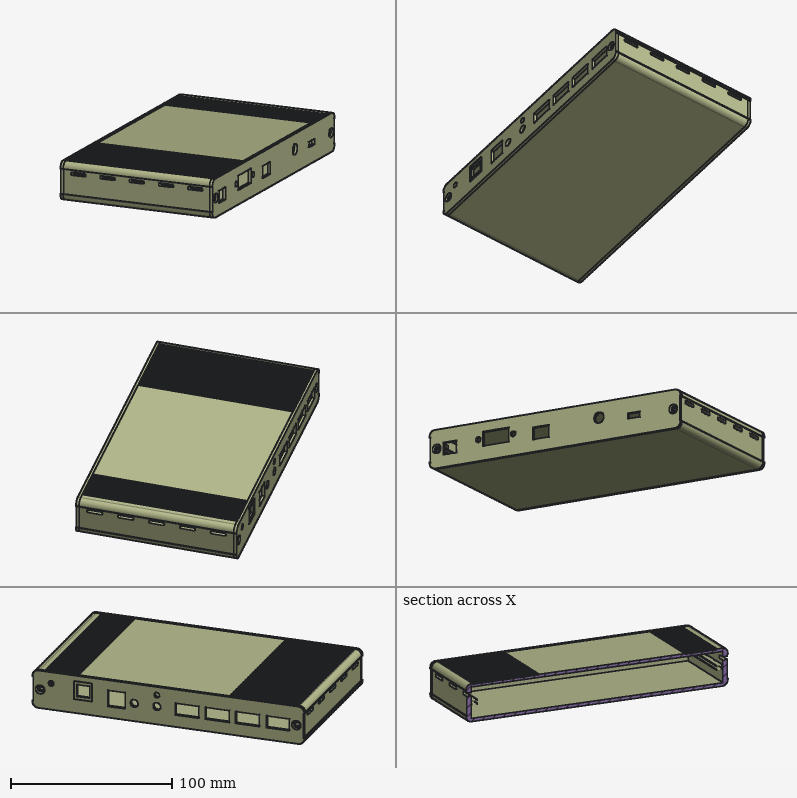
import cadquery as cq

LENGTH = 180.0
WIDTH = 104.0
HEIGHT = 25.0
PLATE_THICKNESS = 2.0
HOUSING_WIDTH = WIDTH - 2 * PLATE_THICKNESS
TOP = HEIGHT / 2

CORNER_RADIUS = 4.0
RECESS_DEPTH = 0.5
SIDE_RECESS_HEIGHT = HEIGHT - 2 * (CORNER_RADIUS + RECESS_DEPTH)

WALL = 2.0
SIDE_WALL = 3.2
RIB_THICKNESS = 0.6
RIB_GAP = 1.8
RIB_TIP_Y = 82.0

LABEL_LENGTH = HOUSING_WIDTH
LABEL_CENTER_Y = 10.0
LABEL_DEPTH = 0.1
LABEL_MIN_Y = LABEL_CENTER_Y - LABEL_LENGTH / 2
LABEL_MAX_Y = LABEL_CENTER_Y + LABEL_LENGTH / 2

GROOVE_DEPTH = RECESS_DEPTH

ROUND_BAND_LENGTH = 45.0
ROUND_RIB_COUNT = 22
ROUND_RIB_PITCH = ROUND_BAND_LENGTH / (ROUND_RIB_COUNT + 0.5)
ROUND_RIB_RADIUS = ROUND_RIB_PITCH / 4

GROOVE_BAND_MAX_Y = 82.0
GROOVE_COUNT = 9
GROOVE_BAND_LENGTH = 22.5
GROOVE_PITCH = GROOVE_BAND_LENGTH / GROOVE_COUNT
GROOVE_WIDTH = 0.6 * GROOVE_PITCH

VENT_COUNT = 5
VENT_PITCH = 20.0
VENT_LENGTH = 10.0
VENT_HEIGHT = 2.0
VENT_Z = 5.5

SCREW_Y = 84.8
SCREW_DIAMETER = 4.0
SCREW_HEAD_DIAMETER = 6.0
COUNTERSINK_ANGLE = 90

SMALL_HOLE = 3.5
BUTTON_HOLE = 5.0

SOCKET_Y = 56.5
SOCKET_Z = 2.7
SOCKET_SIZE = 12.0
SOCKET_CHAMFER = 0.5
SOCKET_RECESS = 0.5
SOCKET_OPENING = (SOCKET_Y, 2.5, 8.5, 8.0)

PORT_Z = -0.5
PORT_HEIGHT = 8.0
PORT_LENGTH = 15.8
PORT_PITCH = 20.0
FIRST_PORT_Y = -12.5
JACK_OPENING = (34.4, 0.4, 11.5, 10.8)
END_PORT_OPENING = (-72.5, PORT_Z, 15.1, PORT_HEIGHT)
FRONT_OPENINGS = [SOCKET_OPENING, JACK_OPENING, END_PORT_OPENING]
FRONT_OPENINGS += [(FIRST_PORT_Y - i * PORT_PITCH, PORT_Z, PORT_LENGTH, PORT_HEIGHT) for i in range(3)]

BUTTON_Y = 7.5
FRONT_HOLES = [
    (77.5, 5.0, SMALL_HOLE),
    (BUTTON_Y, 7.0, SMALL_HOLE),
    (BUTTON_Y, PORT_Z, BUTTON_HOLE),
    (22.5, PORT_Z, BUTTON_HOLE),
]

CONNECTOR_Y = -42.5
CONNECTOR_Z = 1.5
CONNECTOR_SCREW_SPACING = 25.0
REAR_OPENINGS = [
    (CONNECTOR_Y, CONNECTOR_Z, 18.7, 9.4),
    (SOCKET_Y, 0.4, 8.5, 3.6),
    (-10.3, PORT_Z, 11.5, PORT_HEIGHT),
    (-75.5, PORT_Z, 9.5, PORT_HEIGHT),
]
REAR_HOLES = [
    (31.5, 2.5, 7.0),
    (CONNECTOR_Y - CONNECTOR_SCREW_SPACING / 2, CONNECTOR_Z, SMALL_HOLE),
    (CONNECTOR_Y + CONNECTOR_SCREW_SPACING / 2, CONNECTOR_Z, SMALL_HOLE),
]


def section_block(width):
    """Block of the shared cross-section, centered, with rounded corners and recessed long sides."""
    block = cq.Workplane("XY").box(width, LENGTH, HEIGHT).edges("|X").fillet(CORNER_RADIUS)
    for side in (-1, 1):
        recess = cq.Workplane("XY").box(width, 2 * RECESS_DEPTH, SIDE_RECESS_HEIGHT)
        block = block.cut(recess.translate((0, side * LENGTH / 2, 0)))
    return block


def top_strip(min_y, max_y, depth):
    """Strip along the whole housing width, reaching down from the top face."""
    strip = cq.Workplane("XY").box(HOUSING_WIDTH, max_y - min_y, 2 * depth)
    return strip.translate((0, (min_y + max_y) / 2, TOP))


def make_housing():
    housing = section_block(HOUSING_WIDTH)

    inner_length = LENGTH - 2 * (RECESS_DEPTH + SIDE_WALL)
    cavity = cq.Workplane("XY").box(HOUSING_WIDTH, inner_length, HEIGHT - 2 * (RECESS_DEPTH + WALL))
    rib_length = inner_length / 2 - RIB_TIP_Y
    for side in (-1, 1):
        for level in (-1, 1):
            rib = cq.Workplane("XY").box(HOUSING_WIDTH, rib_length, RIB_THICKNESS)
            rib_z = level * (RIB_GAP + RIB_THICKNESS) / 2
            cavity = cavity.cut(rib.translate((0, side * (RIB_TIP_Y + rib_length / 2), rib_z)))
    housing = housing.cut(cavity)

    housing = housing.cut(top_strip(LABEL_MIN_Y, LABEL_MAX_Y, LABEL_DEPTH))

    floor_cut = top_strip(LABEL_MIN_Y - ROUND_BAND_LENGTH, LABEL_MIN_Y, GROOVE_DEPTH)
    for index in range(ROUND_RIB_COUNT):
        rib_y = LABEL_MIN_Y - 3 * ROUND_RIB_RADIUS - index * ROUND_RIB_PITCH
        rib = cq.Workplane("YZ", origin=(-HOUSING_WIDTH / 2, rib_y, TOP - GROOVE_DEPTH))
        floor_cut = floor_cut.cut(rib.circle(ROUND_RIB_RADIUS).extrude(HOUSING_WIDTH))
    housing = housing.cut(floor_cut)

    for index in range(GROOVE_COUNT):
        groove_max_y = GROOVE_BAND_MAX_Y - index * GROOVE_PITCH
        housing = housing.cut(top_strip(groove_max_y - GROOVE_WIDTH, groove_max_y, GROOVE_DEPTH))

    vents = (
        cq.Workplane("XZ", origin=(0, LENGTH / 2, VENT_Z))
        .rarray(VENT_PITCH, 1.8, VENT_COUNT, 1)
        .slot2D(VENT_LENGTH, VENT_HEIGHT)
        .extrude(LENGTH)
    )
    return housing.cut(vents)


def make_plate(outer_side, openings, holes):
    """End plate centered at the origin; outer_side is -1 or +1, the X direction its outside faces."""
    plate = section_block(PLATE_THICKNESS)
    for center_y, center_z, length, height in openings:
        plate = plate.cut(
            cq.Workplane("XY").box(PLATE_THICKNESS, length, height).translate((0, center_y, center_z))
        )
    for center_y, center_z, diameter in holes:
        hole = cq.Workplane("YZ", origin=(-PLATE_THICKNESS / 2, center_y, center_z)).circle(diameter / 2)
        plate = plate.cut(hole.extrude(PLATE_THICKNESS))
    outer_face = "<X" if outer_side < 0 else ">X"
    return (
        plate.faces(outer_face)
        .workplane(origin=(0, 0, 0))
        .pushPoints([(-SCREW_Y, 0), (SCREW_Y, 0)])
        .cskHole(SCREW_DIAMETER, SCREW_HEAD_DIAMETER, COUNTERSINK_ANGLE)
    )


def make_front_plate():
    plate = make_plate(-1, FRONT_OPENINGS, FRONT_HOLES)
    recess = cq.Workplane("XY").box(2 * SOCKET_RECESS, SOCKET_SIZE, SOCKET_SIZE)
    recess = recess.edges("|X and >Z").chamfer(SOCKET_CHAMFER)
    return plate.cut(recess.translate((-PLATE_THICKNESS / 2, SOCKET_Y, SOCKET_Z)))


plate_x = (WIDTH - PLATE_THICKNESS) / 2
housing = make_housing()
front_plate = make_front_plate().translate((-plate_x, 0, 0))
rear_plate = make_plate(1, REAR_OPENINGS, REAR_HOLES).translate((plate_x, 0, 0))

result = cq.Compound.makeCompound([housing.val(), front_plate.val(), rear_plate.val()])